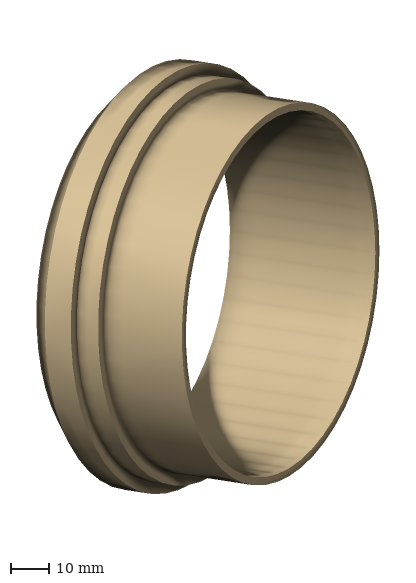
import cadquery as cq

bore_diameter = 97.4
tube_diameter = 101.6
step_diameter = 108.1
collar_diameter = 114.3

collar_end = 14.3
step_end = 20.8
total_length = 44.5

corner_radius = 0.7

bevel_length = (collar_diameter - tube_diameter) / 2

bore_radius = bore_diameter / 2
tube_radius = tube_diameter / 2
step_radius = step_diameter / 2
collar_radius = collar_diameter / 2

section = (
    cq.Workplane("XY")
    .moveTo(0, bore_radius)
    .lineTo(0, tube_radius)
    .lineTo(bevel_length, collar_radius)
    .lineTo(collar_end, collar_radius)
    .lineTo(collar_end, step_radius)
    .lineTo(step_end, step_radius)
    .lineTo(step_end, tube_radius + corner_radius)
    .radiusArc((step_end + corner_radius, tube_radius), -corner_radius)
    .lineTo(total_length, tube_radius)
    .lineTo(total_length, bore_radius)
    .close()
)

result = section.revolve(360, (0, 0, 0), (1, 0, 0))